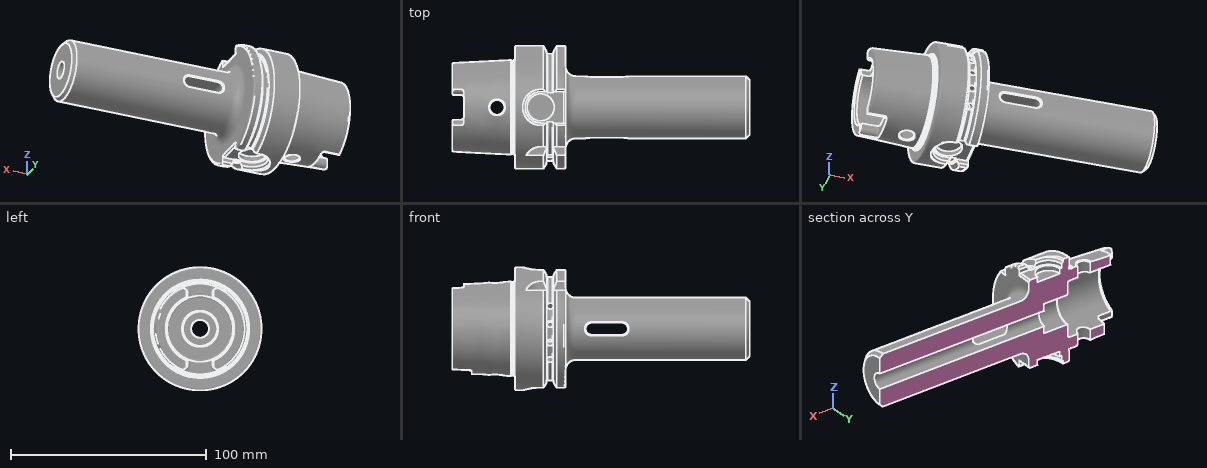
import cadquery as cq
import math


taper_length = 32.0
taper_gauge_radius = 24.0
taper_gauge_offset = 6.3
taper_slope = 0.05
tip_edge_radius = 1.0
tip_x = -taper_length

relief_width = 2.1
relief_depth = 0.3
relief_step = 0.55
face_recess_radius = 25.2
face_recess_depth = 0.4

flange_radius = 31.5
flange_length = 26.0
flange_edge_radius = 1.0
groove_center_x = 18.0
groove_radius = 27.5
groove_floor_half_width = 1.7
groove_corner_fillet = 0.5
groove_mouth_half_width = 3.4
groove_wall_angle = 30.0

shank_radius = 16.0
shank_end_x = 120.0
shank_end_chamfer = 2.0
neck_fillet = 5.0

bore_radius = 16.9
bore_mouth_chamfer = 0.7
bore_mouth_length = 1.3
straight_bore_depth = 13.0
bore_end_radius = 16.8
bore_floor_depth = 33.0
bore_floor_fillet = 1.1
thread_radius = 8.7
thread_chamfer = 0.6
thread_depth = 15.0
through_radius = 4.5

cross_hole_radius = 3.75
cross_hole_mouth_radius = 4.15
cross_hole_x = -9.1

drive_slot_half_width = 6.27
drive_slot_rounding = 2.9
drive_slot_crest = 20.85
drive_slot_root_fillet = 1.5
drive_slot_bevel_width = 0.85
drive_slot_bevel_length = 0.5
drive_slot_depths = {1: 6.0, -1: 10.0}

cut_clearance = 1.0
keyway_half_width = 8.0
keyway_center_x = 13.2
keyway_floor = 26.5
keyway_chamfer = 1.2
keyway_chamfer_start = 28.9
keyway_back_chamfer = 1.0
pocket_radius = 6.9
pocket_depth = 3.0

notch_floor_z = 19.7
notch_wall_y = -20.1
notch_end_radius = 8.5

balance_radius = 1.7
balance_depth = 8.0
balance_first_angle = 25.0
balance_pitch = 20.0
balance_count = 4
drill_point_angle = 118.0

shank_slot_x = 46.95
shank_slot_length = 21.6
shank_slot_width = 6.0
shank_slot_chamfer = 0.5


def taper_radius(x):
    """Outer radius of the taper at the given X."""
    return taper_gauge_radius + taper_slope * (x + taper_gauge_offset)


def outer_body():
    """Taper, flange and shank turned from one half profile."""
    floor_start_x = groove_center_x - groove_floor_half_width
    floor_end_x = groove_center_x + groove_floor_half_width
    fillet_top_radius = groove_radius + groove_corner_fillet
    wall_run = groove_mouth_half_width - groove_floor_half_width
    wall_foot_radius = flange_radius - wall_run / math.tan(math.radians(groove_wall_angle))
    taper_end_x = -relief_width
    taper_end_radius = taper_radius(taper_end_x)
    tip_arc_end_x = tip_x + tip_edge_radius
    tip_arc_end_radius = taper_radius(tip_arc_end_x)
    profile = (
        cq.Workplane("XY")
        .moveTo(tip_x, 0)
        .lineTo(tip_x, tip_arc_end_radius - tip_edge_radius)
        .radiusArc((tip_arc_end_x, tip_arc_end_radius), tip_edge_radius)
        .lineTo(taper_end_x, taper_end_radius)
        .lineTo(taper_end_x + relief_step, taper_end_radius - relief_depth)
        .lineTo(taper_end_x + 2 * relief_step, taper_end_radius - relief_depth)
        .lineTo(taper_end_x + 3 * relief_step, taper_end_radius)
        .lineTo(face_recess_depth, taper_end_radius)
        .lineTo(face_recess_depth, face_recess_radius - face_recess_depth)
        .lineTo(0, face_recess_radius)
        .lineTo(0, flange_radius - flange_edge_radius)
        .radiusArc((flange_edge_radius, flange_radius), flange_edge_radius)
        .lineTo(groove_center_x - groove_mouth_half_width, flange_radius)
        .lineTo(floor_start_x, wall_foot_radius)
        .lineTo(floor_start_x, fillet_top_radius)
        .radiusArc((floor_start_x + groove_corner_fillet, groove_radius), -groove_corner_fillet)
        .lineTo(floor_end_x - groove_corner_fillet, groove_radius)
        .radiusArc((floor_end_x, fillet_top_radius), -groove_corner_fillet)
        .lineTo(floor_end_x, wall_foot_radius)
        .lineTo(groove_center_x + groove_mouth_half_width, flange_radius)
        .lineTo(flange_length - flange_edge_radius, flange_radius)
        .radiusArc((flange_length, flange_radius - flange_edge_radius), flange_edge_radius)
        .lineTo(flange_length, shank_radius + neck_fillet)
        .radiusArc((flange_length + neck_fillet, shank_radius), -neck_fillet)
        .lineTo(shank_end_x - shank_end_chamfer, shank_radius)
        .lineTo(shank_end_x, shank_radius - shank_end_chamfer)
        .lineTo(shank_end_x, 0)
        .close()
    )
    return profile.revolve(360, (0, 0, 0), (1, 0, 0))


def axial_bores():
    """Tip bore, threaded bore and through bore as one turned cutter."""
    straight_end_x = tip_x + straight_bore_depth
    floor_x = tip_x + bore_floor_depth
    profile = (
        cq.Workplane("XY")
        .moveTo(tip_x, 0)
        .lineTo(tip_x, bore_radius + bore_mouth_chamfer)
        .lineTo(tip_x + bore_mouth_length, bore_radius)
        .lineTo(straight_end_x, bore_radius)
        .lineTo(floor_x - bore_floor_fillet, bore_end_radius)
        .radiusArc((floor_x, bore_end_radius - bore_floor_fillet), bore_floor_fillet)
        .lineTo(floor_x, thread_radius + thread_chamfer)
        .lineTo(floor_x + thread_chamfer, thread_radius)
        .lineTo(floor_x + thread_depth, thread_radius)
        .lineTo(floor_x + thread_depth, through_radius)
        .lineTo(shank_end_x, through_radius)
        .lineTo(shank_end_x, 0)
        .close()
    )
    return profile.revolve(360, (0, 0, 0), (1, 0, 0))


def cross_hole():
    """Hole through both sides of the taper wall, countersunk at the taper surface."""
    height = flange_radius
    surface_z = math.sqrt(taper_radius(cross_hole_x) ** 2 - cross_hole_mouth_radius ** 2)
    sink_depth = cross_hole_mouth_radius - cross_hole_radius
    profile = (
        cq.Workplane("XZ")
        .lineTo(cross_hole_radius, 0)
        .lineTo(cross_hole_radius, surface_z - sink_depth)
        .lineTo(cross_hole_mouth_radius, surface_z)
        .lineTo(cross_hole_mouth_radius, height)
        .lineTo(0, height)
        .close()
    )
    upper = profile.revolve(360, (0, 0, 0), (0, 1, 0)).translate((cross_hole_x, 0, 0))
    return upper.union(upper.mirror("XY"))


def drive_slot(side, depth):
    """Slot across the tip wall, its walls rounded outward where they meet the taper."""
    flare_half_width = drive_slot_half_width + drive_slot_rounding
    rounding_start = drive_slot_crest - drive_slot_rounding
    cutter = (
        cq.Workplane("YZ", origin=(tip_x, 0, 0))
        .moveTo(-drive_slot_half_width, 0)
        .lineTo(-drive_slot_half_width, rounding_start)
        .radiusArc((-flare_half_width, drive_slot_crest), -drive_slot_rounding)
        .lineTo(-flare_half_width, flange_radius)
        .lineTo(flare_half_width, flange_radius)
        .lineTo(flare_half_width, drive_slot_crest)
        .radiusArc((drive_slot_half_width, rounding_start), -drive_slot_rounding)
        .lineTo(drive_slot_half_width, 0)
        .close()
        .extrude(depth)
    )
    cutter = cutter.faces(">X").edges("not(>Z or <Z)").fillet(drive_slot_root_fillet)
    mouth_half_width = drive_slot_half_width + drive_slot_bevel_width
    bevel = (
        cq.Workplane("XY", origin=(tip_x, 0, 0))
        .moveTo(0, -mouth_half_width)
        .lineTo(drive_slot_bevel_length, -drive_slot_half_width)
        .lineTo(drive_slot_bevel_length, drive_slot_half_width)
        .lineTo(0, mouth_half_width)
        .close()
        .extrude(flange_radius)
    )
    cutter = cutter.union(bevel)
    if side < 0:
        cutter = cutter.mirror("XY")
    return cutter


def slot_prism(half_width, bottom_z, top_z):
    """Round-ended slot, open toward +X."""
    height = top_z - bottom_z
    run = flange_length
    round_end = (
        cq.Workplane("XY", origin=(keyway_center_x, 0, bottom_z))
        .circle(half_width)
        .extrude(height)
    )
    straight = (
        cq.Workplane("XY", origin=(keyway_center_x + run / 2, 0, bottom_z))
        .rect(run, 2 * half_width)
        .extrude(height)
    )
    return round_end.union(straight)


def keyway():
    """Keyway with a chamfered mouth and a round pocket in its floor."""
    top_z = flange_radius + cut_clearance
    slot = slot_prism(keyway_half_width, keyway_floor, top_z)
    mouth = slot_prism(keyway_half_width + keyway_chamfer, keyway_chamfer_start, top_z)
    mouth = mouth.faces("<Z").edges().chamfer(keyway_chamfer)
    pocket = (
        cq.Workplane("XY", origin=(keyway_center_x, 0, keyway_floor))
        .circle(pocket_radius)
        .extrude(-pocket_depth)
    )
    back_bevel = (
        cq.Workplane("XZ")
        .moveTo(flange_length - keyway_back_chamfer, keyway_floor)
        .lineTo(flange_length, keyway_floor)
        .lineTo(flange_length, keyway_floor - keyway_back_chamfer)
        .close()
        .extrude(keyway_half_width, both=True)
    )
    return slot.union(mouth).union(pocket).union(back_bevel)


def corner_notch():
    """Round-ended notch beside the keyway, open toward -Y and +Z."""
    notch = slot_prism(notch_end_radius, notch_floor_z, flange_radius)
    return notch.translate((0, notch_wall_y - notch_end_radius, 0))


def balance_hole(angle):
    """Drilled radial hole with a conical end, turned from -Y toward +Z by the angle."""
    shoulder_y = balance_depth - groove_radius
    point_y = shoulder_y + balance_radius / math.tan(math.radians(drill_point_angle / 2))
    profile = (
        cq.Workplane("XY")
        .moveTo(0, point_y)
        .lineTo(balance_radius, shoulder_y)
        .lineTo(balance_radius, -flange_radius)
        .lineTo(0, -flange_radius)
        .close()
    )
    hole = profile.revolve(360, (0, 0, 0), (0, 1, 0)).translate((groove_center_x, 0, 0))
    return hole.rotate((0, 0, 0), (1, 0, 0), -angle)


def shank_slot():
    """Slot through the shank, chamfered where it leaves both sides."""
    slot = (
        cq.Workplane("XZ", origin=(shank_slot_x, 0, 0))
        .slot2D(shank_slot_length, shank_slot_width)
        .extrude(shank_radius, both=True)
    )
    mouth_half_width = shank_slot_width / 2 + shank_slot_chamfer
    mouth_y = math.sqrt(shank_radius ** 2 - mouth_half_width ** 2)
    chamfer_foot_y = mouth_y - shank_slot_chamfer
    front_mouth = (
        cq.Workplane("XZ", origin=(shank_slot_x, -chamfer_foot_y, 0))
        .slot2D(shank_slot_length + 2 * shank_slot_chamfer, 2 * mouth_half_width)
        .extrude(shank_radius - chamfer_foot_y)
        .faces(">Y")
        .chamfer(shank_slot_chamfer)
    )
    return slot.union(front_mouth).union(front_mouth.mirror("XZ"))


result = outer_body()
for cutter in (axial_bores(), cross_hole(), shank_slot(), corner_notch()):
    result = result.cut(cutter)
for slot_side, slot_depth in drive_slot_depths.items():
    result = result.cut(drive_slot(slot_side, slot_depth))
upper_keyway = keyway()
result = result.cut(upper_keyway).cut(upper_keyway.mirror("XY"))
for index in range(balance_count):
    result = result.cut(balance_hole(balance_first_angle - index * balance_pitch))